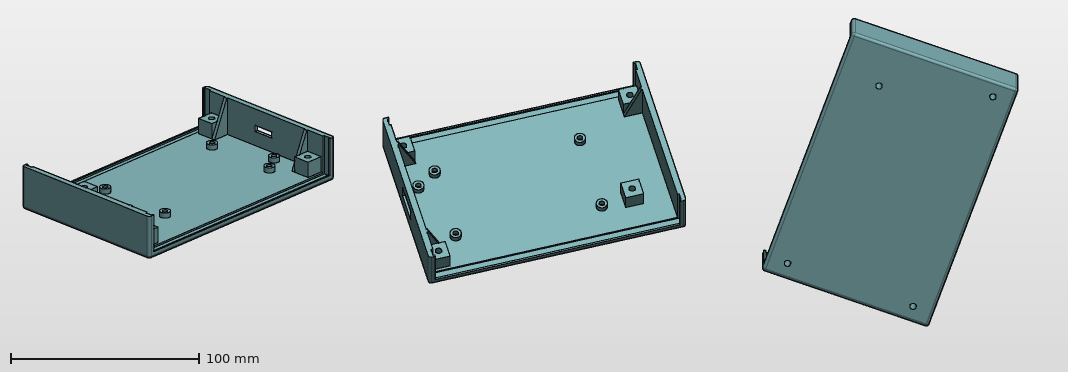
import cadquery as cq

width = 94.0
length = 142.0
height = 25.0

wall = 3.5
floor = 3.5
edge_radius = 1.5

groove_inset = 1.0
groove_width = 4.0
groove_depth = 1.0

block_size = 10.0
block_height = 9.0
block_hole_diameter = 3.4
block_side_gap = 6.5

rib_thickness = 2.0
rib_top_depth = 0.5

standoff_diameter = 6.0
standoff_hole_diameter = 2.8
standoff_height = 3.0
standoff_positions = [
    (-22.7, 49.5),
    (19.6, 49.5),
    (12.5, 60.5),
    (-24.5, -30.5),
    (19.6, -30.5),
]

window_width = 12.0
window_height = 3.5
window_x = -2.1
window_bottom = 11.8
recess_margin = 2.0
recess_depth = 1.5

wall_inner_y = length / 2 - wall
corner_block_x = width / 2 - block_side_gap - block_size / 2
corner_block_y = wall_inner_y - block_size / 2
corners = [(-1, 1), (1, 1), (1, -1)]
free_block_position = (-23.6, -47.5)
block_positions = [(sx * corner_block_x, sy * corner_block_y) for sx, sy in corners]
block_positions.append(free_block_position)


def make_shell():
    shell = cq.Workplane("XY").box(width, length, height, centered=(True, True, False))
    shell = shell.edges("|Z or <Z").fillet(edge_radius)
    cavity = (
        cq.Workplane("XY")
        .workplane(offset=floor)
        .rect(width, 2 * wall_inner_y)
        .extrude(height - floor)
    )
    return shell.cut(cavity)


def make_grooves():
    groove_x = width / 2 - groove_inset - groove_width / 2
    return (
        cq.Workplane("XY")
        .workplane(offset=floor - groove_depth)
        .pushPoints([(-groove_x, 0), (groove_x, 0)])
        .rect(groove_width, 2 * (wall_inner_y + groove_depth))
        .extrude(height - floor + groove_depth)
    )


def make_wall_opening(opening_width, opening_height, start_y):
    """Rectangular opening around the window centre, from start_y out through the +Y face."""
    depth = length / 2 - start_y
    return cq.Workplane("XY").box(opening_width, depth, opening_height).translate(
        (window_x, start_y + depth / 2, window_bottom + window_height / 2)
    )


def make_window():
    window = make_wall_opening(window_width, window_height, wall_inner_y)
    recess = make_wall_opening(
        window_width + 2 * recess_margin,
        window_height + 2 * recess_margin,
        length / 2 - recess_depth,
    )
    return window.union(recess)


def make_blocks():
    return (
        cq.Workplane("XY")
        .workplane(offset=floor)
        .pushPoints(block_positions)
        .rect(block_size, block_size)
        .extrude(block_height)
    )


def make_block_holes():
    return (
        cq.Workplane("XY")
        .pushPoints(block_positions)
        .circle(block_hole_diameter / 2)
        .extrude(floor + block_height)
    )


def make_rib(side_x, side_y):
    """Rib against the inner X face of the corner block at the given corner."""
    rib_x = side_x * (corner_block_x - block_size / 2 - rib_thickness / 2)
    outline = [
        (side_y * wall_inner_y, floor),
        (side_y * (wall_inner_y - block_size), floor),
        (side_y * (wall_inner_y - rib_top_depth), height),
        (side_y * wall_inner_y, height),
    ]
    return (
        cq.Workplane("YZ")
        .workplane(offset=rib_x)
        .polyline(outline)
        .close()
        .extrude(rib_thickness / 2, both=True)
    )


def make_standoffs():
    return (
        cq.Workplane("XY")
        .workplane(offset=floor)
        .pushPoints(standoff_positions)
        .circle(standoff_diameter / 2)
        .circle(standoff_hole_diameter / 2)
        .extrude(standoff_height)
    )


result = make_shell().cut(make_grooves()).cut(make_window())
result = result.union(make_blocks()).union(make_standoffs())
for side_x, side_y in corners:
    result = result.union(make_rib(side_x, side_y))
result = result.cut(make_block_holes())